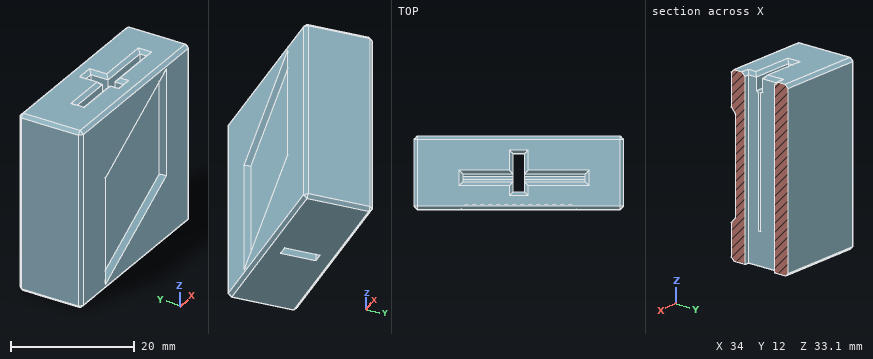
import cadquery as cq
import math

LENGTH = 34.01
THICKNESS = 12.0
HEIGHT = 33.14
EDGE_BREAK = 0.6
FLARE_ANGLE = 45
TOP = HEIGHT / 2
FRONT = -THICKNESS / 2

SLOPE = math.radians(30)

DIAMOND_WIDTH = 19.0
DIAMOND_SIDE = 19.9
DIAMOND_DEPTH = 0.84

MOUTH_CHAMFER = 0.63
THROUGH_SLOT_WIDTH = 1.8
THROUGH_SLOT_SPAN = 6.15
LONG_SLOT_LENGTH = 19.8
LONG_SLOT_WIDTH = 1.25
LONG_SLOT_X = 0.87
LONG_SLOT_Y = -0.82

SHOULDER_DEPTH = 3.0
SHOULDER_RADIUS = 0.4
SHOULDER_Z = TOP - SHOULDER_DEPTH


def make_block():
    return cq.Workplane("XY").box(LENGTH, THICKNESS, HEIGHT).edges().chamfer(EDGE_BREAK)


def lower_slope_height(x):
    """Height of the diamond's lower sloping side at the given X."""
    return x * math.tan(SLOPE) - DIAMOND_SIDE / 2


def diamond_pocket():
    """Diamond prism that shrinks as it goes into the front face."""
    half_width = DIAMOND_WIDTH / 2
    left_z = lower_slope_height(-half_width)
    right_z = lower_slope_height(half_width)
    outline = [
        (-half_width, left_z),
        (half_width, right_z),
        (half_width, right_z + DIAMOND_SIDE),
        (-half_width, left_z + DIAMOND_SIDE),
    ]
    return (
        cq.Workplane("XZ", origin=(0, FRONT, 0))
        .polyline(outline)
        .close()
        .extrude(-DIAMOND_DEPTH, taper=FLARE_ANGLE)
    )


def slot_mouth(length, width, x, y):
    """Sloping flare around the top of a rectangular slot."""
    return (
        cq.Workplane("XY", origin=(x, y, TOP))
        .rect(length + 2 * MOUTH_CHAMFER, width + 2 * MOUTH_CHAMFER)
        .extrude(-MOUTH_CHAMFER, taper=FLARE_ANGLE)
    )


def through_slot():
    """Short slot along Y, open from the top face to the bottom face."""
    slot = cq.Workplane("XY").box(THROUGH_SLOT_WIDTH, THROUGH_SLOT_SPAN, HEIGHT)
    return slot.union(slot_mouth(THROUGH_SLOT_WIDTH, THROUGH_SLOT_SPAN, 0, 0))


def shoulder_throat(left):
    """Space between the two quarter-round shoulders, running the full slot length."""
    half_mouth = LONG_SLOT_WIDTH / 2
    half_slit = half_mouth - SHOULDER_RADIUS
    arc_offset = SHOULDER_RADIUS * math.sqrt(0.5)
    arc_y = half_mouth - arc_offset
    arc_z = arc_offset - SHOULDER_RADIUS
    return (
        cq.Workplane("YZ", origin=(left, LONG_SLOT_Y, SHOULDER_Z))
        .moveTo(-half_mouth, 0)
        .lineTo(half_mouth, 0)
        .threePointArc((arc_y, arc_z), (half_slit, -SHOULDER_RADIUS))
        .lineTo(-half_slit, -SHOULDER_RADIUS)
        .threePointArc((-arc_y, arc_z), (-half_mouth, 0))
        .close()
        .extrude(LONG_SLOT_LENGTH)
    )


def long_slot():
    """Slot along X: straight walls down to the shoulders, then the slit below them."""
    upper = cq.Workplane("XY", origin=(LONG_SLOT_X, LONG_SLOT_Y, SHOULDER_Z)).box(
        LONG_SLOT_LENGTH, LONG_SLOT_WIDTH, SHOULDER_DEPTH, centered=(True, True, False)
    )
    left = LONG_SLOT_X - LONG_SLOT_LENGTH / 2
    right = LONG_SLOT_X + LONG_SLOT_LENGTH / 2
    slit_top = SHOULDER_Z - SHOULDER_RADIUS
    slit_width = LONG_SLOT_WIDTH - 2 * SHOULDER_RADIUS
    slit = (
        cq.Workplane("XZ", origin=(0, LONG_SLOT_Y, 0))
        .moveTo(left, lower_slope_height(left))
        .lineTo(right, lower_slope_height(right))
        .lineTo(right, slit_top)
        .lineTo(left, slit_top)
        .close()
        .extrude(slit_width / 2, both=True)
    )
    mouth = slot_mouth(LONG_SLOT_LENGTH, LONG_SLOT_WIDTH, LONG_SLOT_X, LONG_SLOT_Y)
    return upper.union(shoulder_throat(left)).union(slit).union(mouth)


result = make_block().cut(diamond_pocket()).cut(through_slot()).cut(long_slot())